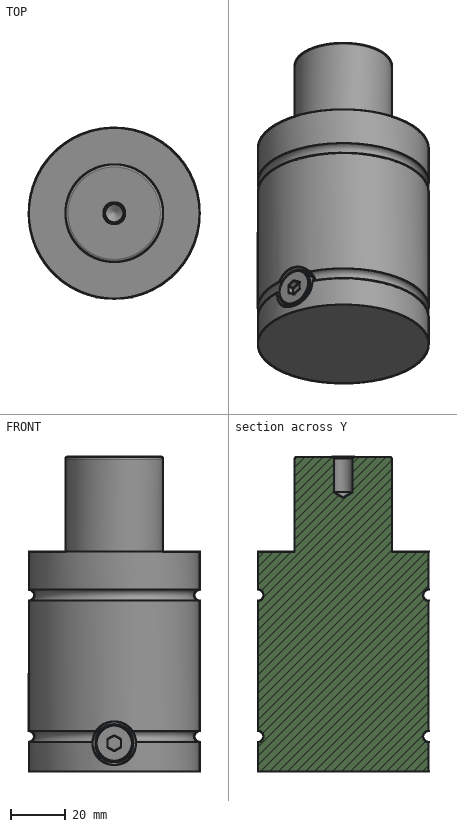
import cadquery as cq
import math

BODY_DIAMETER = 63.0
BODY_HEIGHT = 81.0
BODY_RADIUS = BODY_DIAMETER / 2

GROOVE_RADIUS = 2.0
GROOVE_HEIGHTS = (13.0, 65.0)

TOTAL_HEIGHT = 116.0
ROD_DIAMETER = 36.0
ROD_EDGE_RADIUS = 1.0

HOLE_DIAMETER = 6.8
HOLE_MOUTH_DIAMETER = 8.0
HOLE_DEPTH = 13.0
DRILL_POINT_ANGLE = 118.0

PORT_HEIGHT = 10.5
PORT_DIAMETER = 16.0
PORT_FLOOR_Y = -27.0
PLUG_DIAMETER = 14.0
PLUG_FACE_Y = -31.0
PLUG_EDGE_CHAMFER = 0.5
SOCKET_ACROSS_FLATS = 5.0
SOCKET_DEPTH = 3.0
HEXAGON_SIDES = 6


def make_body_and_rod():
    body = cq.Workplane("XY").circle(BODY_RADIUS).extrude(BODY_HEIGHT)
    rod = (
        cq.Workplane("XY")
        .circle(ROD_DIAMETER / 2)
        .extrude(TOTAL_HEIGHT)
        .faces(">Z")
        .fillet(ROD_EDGE_RADIUS)
    )
    return body.union(rod)


def make_groove(height):
    """Ring of round section centred on the body surface, turned about the Z axis."""
    return (
        cq.Workplane("XZ")
        .center(BODY_RADIUS, height)
        .circle(GROOVE_RADIUS)
        .revolve(360, (-BODY_RADIUS, 0), (-BODY_RADIUS, 1))
    )


def make_rod_hole():
    """Blind hole with a 45 degree countersink and a conical drill point."""
    radius = HOLE_DIAMETER / 2
    mouth_radius = HOLE_MOUTH_DIAMETER / 2
    countersink_depth = mouth_radius - radius
    point_length = radius / math.tan(math.radians(DRILL_POINT_ANGLE / 2))
    bottom = TOTAL_HEIGHT - HOLE_DEPTH
    half_section = [
        (0, TOTAL_HEIGHT),
        (mouth_radius, TOTAL_HEIGHT),
        (radius, TOTAL_HEIGHT - countersink_depth),
        (radius, bottom),
        (0, bottom - point_length),
    ]
    return cq.Workplane("XZ").polyline(half_section).close().revolve(360, (0, 0), (0, 1))


def port_plane(y):
    """Plane across the port axis, with its normal pointing outward along -Y."""
    return cq.Workplane("XZ", origin=(0, y, PORT_HEIGHT))


def make_port_recess():
    return port_plane(PORT_FLOOR_Y).circle(PORT_DIAMETER / 2).extrude(BODY_RADIUS)


def make_plug():
    plug = (
        port_plane(PORT_FLOOR_Y)
        .circle(PLUG_DIAMETER / 2)
        .extrude(PORT_FLOOR_Y - PLUG_FACE_Y)
        .faces("<Y")
        .chamfer(PLUG_EDGE_CHAMFER)
    )
    across_corners = SOCKET_ACROSS_FLATS / math.cos(math.pi / HEXAGON_SIDES)
    socket = (
        port_plane(PLUG_FACE_Y)
        .transformed(rotate=(0, 0, 90))
        .polygon(HEXAGON_SIDES, across_corners)
        .extrude(-SOCKET_DEPTH)
    )
    return plug.cut(socket)


result = make_body_and_rod()
for groove_height in GROOVE_HEIGHTS:
    result = result.cut(make_groove(groove_height))
result = result.cut(make_rod_hole())
result = result.cut(make_port_recess())
result = result.union(make_plug())